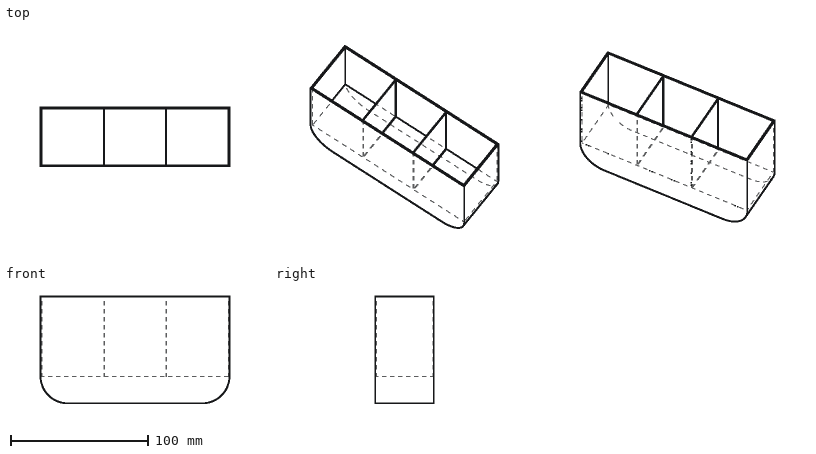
import cadquery as cq

length = 138.0
depth = 43.0
height = 78.0
corner_radius = 20.0

outer_wall = 1.0
divider_thickness = 0.5
compartment_count = 3
floor_height = corner_radius

interior_length = length - 2 * outer_wall
interior_depth = depth - 2 * outer_wall
interior_height = height - floor_height
divider_pitch = interior_length / compartment_count


def make_body():
    """Block centred in X and Y, base at Z = 0, with its two lower end edges rounded."""
    block = cq.Workplane("XY").box(length, depth, height, centered=(True, True, False))
    return block.faces("<Z").edges("|Y").fillet(corner_radius)


def make_interior():
    """Rectangular cavity above the floor, open at the top."""
    return (
        cq.Workplane("XY")
        .workplane(offset=floor_height)
        .rect(interior_length, interior_depth)
        .extrude(interior_height)
    )


def make_dividers():
    """Thin cross walls centred on the lines that split the interior into equal parts."""
    return (
        cq.Workplane("XY")
        .workplane(offset=floor_height)
        .rarray(divider_pitch, 1, compartment_count - 1, 1)
        .rect(divider_thickness, interior_depth)
        .extrude(interior_height)
    )


compartments = make_interior().cut(make_dividers())
result = make_body().cut(compartments)